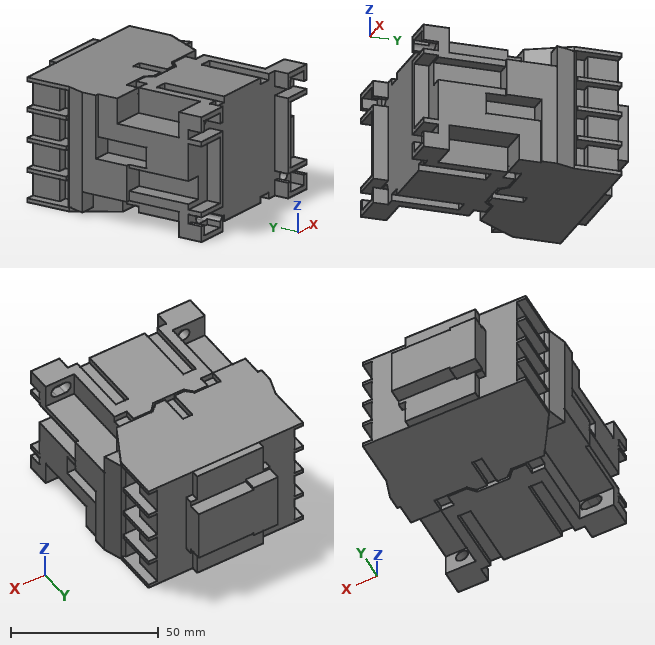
import cadquery as cq


LENGTH = 79.3
HEIGHT = 45.0
WIDTH = 67.0
FLANGE_X = WIDTH / 2

LEFT_SIDE = 32.0
LEFT_INNER = 18.95
RIGHT_SIDE = 32.35
RIGHT_INNER = 20.85

FOOT_DEPTH = 5.3
FOOT_HEIGHT = 5.6
FOOT_ROOF = 1.9
LIP = 1.75
RAIL_BOTTOM = 8.9

PLATE_BACK = 9.2
HOLE_DIAMETER = 4.7
HOLE_SLOT_LENGTH = 7.9
HOLE_LEFT_X = -23.5
HOLE_RIGHT_X = 26.1
HOLE_LOWER_Z = 6.0
HOLE_PITCH_Z = 34.4

POCKET_HEIGHT = 9.1
POCKET_END = 34.3
SEAM_Y = 39.2
DIAGONAL_START = 2.3
CORNER_LIP = 1.7

SHOULDER_Y = 47.6
FLANGE_LONG_END = 29.4
FLANGE_SHORT_END = 42.1
FLANGE_STEP_Z = 22.1
SIDE_POCKET_HEIGHT = 7.45
SIDE_POCKET_START = 22.5
SIDE_POCKET_X = 26.0

GROOVE_HEIGHT = 8.3
LEFT_GROOVE_Z = 12.6
LEFT_GROOVE_X = 26.0
RIGHT_GROOVE_Z = 25.3
RIGHT_GROOVE_X = 27.4

RECESS_DEPTH = 2.2
SEAM_GAP = 0.55
NOTCH_WIDTH = 4.9
TONGUE_ROOT = 8.5
TONGUE_TIP = 5.95
TONGUE_Y = 36.6
TONGUE_GAP_WIDENING = 0.28
BASE_TIP_Y = 35.8
KEYWAY_WIDTH = 3.8
KEYWAY_END = 47.8
LONG_SLOT_WIDTH = 5.0
LONG_SLOT_INSET = 3.7

COVER_X = 31.25
COVER_END = 71.5
TAPER_Y = 54.5
FIN_COUNT = 5
FIN_THICKNESS = 1.4
FIN_PITCH = (HEIGHT - FIN_THICKNESS) / (FIN_COUNT - 1)
CHAMBER_START = 55.7
CHAMBER_STEP_Y = 60.6
CHAMBER_DEPTH = 3.5
CHAMBER_DEEP = 2 * CHAMBER_DEPTH
CHAMBER_BEVEL = 1.2

CAP_PLATE_END = 74.3
CAP_PLATE_X = 13.4
CAP_X = 16.0
CAP_BAND_HEIGHT = 23.8
KNOB_HEIGHT = 22.05
KNOB_INNER_X = -6.2
KNOB_STEP = 0.9


def box(x0, x1, y0, y1, z0, z1):
    """Box between two opposite corners."""
    return cq.Workplane("XY").box(x1 - x0, y1 - y0, z1 - z0, centered=False).translate((x0, y0, z0))


def prism(points, z0, z1):
    """Outline in X and Y, extruded from z0 to z1."""
    return cq.Workplane("XY").workplane(offset=z0).polyline(points).close().extrude(z1 - z0)


def half_turn(shape):
    """Half turn about the lengthwise axis of the housing: left becomes right, top becomes bottom."""
    return shape.rotate((0, 0, HEIGHT / 2), (0, 1, HEIGHT / 2), 180)


def mirror_z(shape):
    """Mirror image in the plane halfway up the housing."""
    return shape.mirror("XY", (0, 0, HEIGHT / 2))


def both_turns(shape):
    """The shape together with its half turn."""
    return shape.union(half_turn(shape))


def top_and_bottom(shape):
    """The shape together with its mirror image."""
    return shape.union(mirror_z(shape))




def flange():
    """Thin layer on the left side, longer in the lower half."""
    lower = box(-FLANGE_X, -COVER_X, FLANGE_LONG_END, SHOULDER_Y, POCKET_HEIGHT, FLANGE_STEP_Z)
    upper = box(-FLANGE_X, -COVER_X, FLANGE_SHORT_END, SHOULDER_Y, FLANGE_STEP_Z, HEIGHT)
    return lower.union(upper)


def side_pocket():
    """Blind pocket in the left side, beginning at the step of the flange."""
    return box(
        -FLANGE_X, -SIDE_POCKET_X, SIDE_POCKET_START, FLANGE_SHORT_END,
        FLANGE_STEP_Z, FLANGE_STEP_Z + SIDE_POCKET_HEIGHT,
    )


def square_corner_pocket(inner):
    """Plain pocket in the upper left corner."""
    return box(-FLANGE_X, -inner, PLATE_BACK, POCKET_END, HEIGHT - POCKET_HEIGHT, HEIGHT)


def diagonal_corner_pocket(inner):
    """Pocket in the lower left corner, ended by a diagonal wall that runs on to the taper."""
    wall_x = inner + DIAGONAL_START
    slope = (COVER_X - wall_x) / (TAPER_Y - SEAM_Y)
    shoulder_x = wall_x + slope * (SHOULDER_Y - SEAM_Y)
    pocket = prism(
        [
            (-inner, PLATE_BACK),
            (-inner, SEAM_Y),
            (-wall_x, SEAM_Y),
            (-shoulder_x, SHOULDER_Y),
            (-FLANGE_X, SHOULDER_Y),
            (-FLANGE_X, PLATE_BACK),
        ],
        0,
        POCKET_HEIGHT,
    )
    lip_cut = prism(
        [(-shoulder_x, SHOULDER_Y), (-COVER_X, TAPER_Y), (-FLANGE_X, TAPER_Y), (-FLANGE_X, SHOULDER_Y)],
        0,
        CORNER_LIP,
    )
    return pocket.union(lip_cut)


def feet_and_rail(inner, side):
    """Two hollow feet and the U-shaped rail between them on the left side."""
    foot = box(-side, -inner, 0, FOOT_DEPTH, 0, FOOT_HEIGHT)
    foot = foot.cut(box(-side + LIP, -inner - LIP, 0, FOOT_DEPTH, FOOT_ROOF, FOOT_HEIGHT))
    rail = box(-side, -inner, 0, FOOT_DEPTH, RAIL_BOTTOM, HEIGHT - RAIL_BOTTOM)
    rail = rail.cut(
        box(-side, -inner - LIP, 0, FOOT_DEPTH, RAIL_BOTTOM + LIP, HEIGHT - RAIL_BOTTOM - LIP)
    )
    return top_and_bottom(foot).union(rail)


def terminal_chambers():
    """Chambers between the terminal fins of the left side, with a bevelled end wall."""
    chambers = prism(
        [
            (-COVER_X, TAPER_Y),
            (-COVER_X + CHAMBER_BEVEL, CHAMBER_START),
            (-COVER_X + CHAMBER_DEEP, CHAMBER_START),
            (-COVER_X + CHAMBER_DEEP, CHAMBER_STEP_Y),
            (-COVER_X + CHAMBER_DEPTH, CHAMBER_STEP_Y),
            (-COVER_X + CHAMBER_DEPTH, COVER_END),
            (-COVER_X, COVER_END),
        ],
        FIN_THICKNESS,
        HEIGHT - FIN_THICKNESS,
    )
    for index in range(1, FIN_COUNT - 1):
        fin_z = index * FIN_PITCH
        fin = box(
            -COVER_X, -COVER_X + CHAMBER_DEEP, CHAMBER_START, COVER_END, fin_z, fin_z + FIN_THICKNESS
        )
        chambers = chambers.cut(fin)
    return chambers




def seam_recess():
    """Narrow channel around the tongue of the cover, widened to a notch at each end."""
    base_y = SEAM_Y - SEAM_GAP
    base_root = TONGUE_ROOT + TONGUE_GAP_WIDENING
    base_tip = TONGUE_TIP + TONGUE_GAP_WIDENING
    return prism(
        [
            (-LEFT_INNER, POCKET_END),
            (-LEFT_INNER + NOTCH_WIDTH, POCKET_END),
            (-LEFT_INNER + NOTCH_WIDTH, base_y),
            (-base_root, base_y),
            (-base_tip, BASE_TIP_Y),
            (base_tip, BASE_TIP_Y),
            (base_root, base_y),
            (RIGHT_INNER - NOTCH_WIDTH, base_y),
            (RIGHT_INNER - NOTCH_WIDTH, POCKET_END),
            (RIGHT_INNER, POCKET_END),
            (RIGHT_INNER, SEAM_Y),
            (TONGUE_ROOT, SEAM_Y),
            (TONGUE_TIP, TONGUE_Y),
            (-TONGUE_TIP, TONGUE_Y),
            (-TONGUE_ROOT, SEAM_Y),
            (-LEFT_INNER, SEAM_Y),
        ],
        HEIGHT - RECESS_DEPTH,
        HEIGHT,
    )


def keyway():
    """Short slot along the middle of the tongue."""
    return box(
        -KEYWAY_WIDTH / 2, KEYWAY_WIDTH / 2, TONGUE_Y, KEYWAY_END, HEIGHT - RECESS_DEPTH, HEIGHT
    )


def long_slots():
    """Two slots along the base, one near each pocket wall."""
    left_x = -LEFT_INNER + LONG_SLOT_INSET
    right_x = RIGHT_INNER - LONG_SLOT_INSET - LONG_SLOT_WIDTH
    slots = cq.Workplane("XY")
    for x in (left_x, right_x):
        slots = slots.add(
            box(x, x + LONG_SLOT_WIDTH, FOOT_DEPTH, FLANGE_LONG_END, HEIGHT - RECESS_DEPTH, HEIGHT)
        )
    return slots.combine()




def mounting_holes():
    """Round hole and slot on each side, on opposite diagonals, running through the feet plates."""
    upper_z = HOLE_LOWER_Z + HOLE_PITCH_Z
    plane = cq.Workplane("XZ")
    round_holes = (
        plane.pushPoints([(HOLE_LEFT_X, upper_z), (HOLE_RIGHT_X, HOLE_LOWER_Z)])
        .circle(HOLE_DIAMETER / 2)
        .extrude(-PLATE_BACK)
    )
    slots = (
        plane.pushPoints([(HOLE_LEFT_X, HOLE_LOWER_Z), (HOLE_RIGHT_X, upper_z)])
        .slot2D(HOLE_SLOT_LENGTH, HOLE_DIAMETER)
        .extrude(-PLATE_BACK)
    )
    return round_holes.union(slots)


def side_grooves():
    """Groove in each side, from the feet to the long end of the flange."""
    left = box(
        -FLANGE_X, -LEFT_GROOVE_X, FOOT_DEPTH, FLANGE_LONG_END,
        LEFT_GROOVE_Z, LEFT_GROOVE_Z + GROOVE_HEIGHT,
    )
    right = box(
        RIGHT_GROOVE_X, FLANGE_X, FOOT_DEPTH, FLANGE_LONG_END,
        RIGHT_GROOVE_Z, RIGHT_GROOVE_Z + GROOVE_HEIGHT,
    )
    return left.union(right)




def make_housing():
    """Base and cover in one piece, with all pockets, recesses and holes cut from it."""
    cover = prism(
        [
            (-FLANGE_X, SHOULDER_Y),
            (-COVER_X, TAPER_Y),
            (-COVER_X, COVER_END),
            (COVER_X, COVER_END),
            (COVER_X, TAPER_Y),
            (FLANGE_X, SHOULDER_Y),
        ],
        0,
        HEIGHT,
    )
    base = box(-LEFT_SIDE, RIGHT_SIDE, FOOT_DEPTH, SHOULDER_Y, 0, HEIGHT)
    housing = cover.union(base).union(both_turns(flange()))
    housing = housing.union(feet_and_rail(LEFT_INNER, LEFT_SIDE))
    housing = housing.union(half_turn(feet_and_rail(RIGHT_INNER, RIGHT_SIDE)))

    housing = housing.cut(square_corner_pocket(LEFT_INNER))
    housing = housing.cut(half_turn(square_corner_pocket(RIGHT_INNER)))
    housing = housing.cut(diagonal_corner_pocket(LEFT_INNER))
    housing = housing.cut(half_turn(diagonal_corner_pocket(RIGHT_INNER)))
    housing = housing.cut(both_turns(side_pocket()))
    housing = housing.cut(side_grooves())
    housing = housing.cut(both_turns(terminal_chambers()))

    for recess in (seam_recess(), keyway(), long_slots()):
        housing = housing.cut(top_and_bottom(recess))
    return housing.cut(mounting_holes()).solids()


def make_cap():
    """Plate with a wider band across its middle, carrying a block whose left end is a taller knob."""
    middle = HEIGHT / 2
    knob_half = KNOB_HEIGHT / 2
    block_half = knob_half - KNOB_STEP
    band_half = CAP_BAND_HEIGHT / 2
    plate = box(-CAP_PLATE_X, CAP_PLATE_X, COVER_END, CAP_PLATE_END, 0, HEIGHT)
    band = box(-CAP_X, CAP_X, COVER_END, CAP_PLATE_END, middle - band_half, middle + band_half)
    knob = box(-CAP_X, KNOB_INNER_X, CAP_PLATE_END, LENGTH, middle - knob_half, middle + knob_half)
    block = box(KNOB_INNER_X, CAP_X, CAP_PLATE_END, LENGTH, middle - block_half, middle + block_half)
    return plate.union(band).union(knob).union(block).solids()


housing = make_housing()
cap = make_cap()

result = cq.Compound.makeCompound([housing.val(), cap.val()])